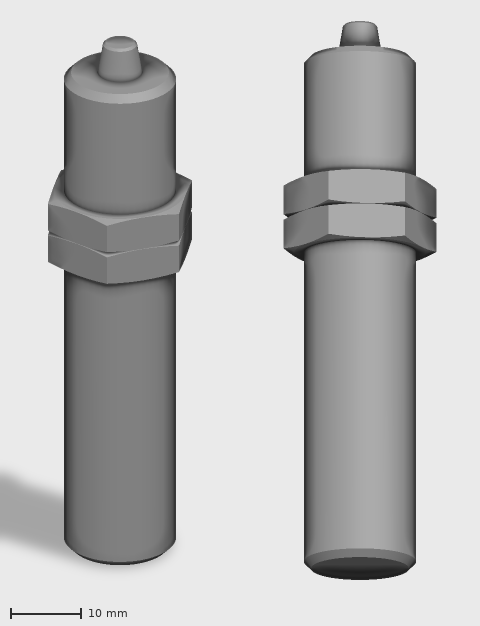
import cadquery as cq
import math

total_height = 79.8

body_diameter = 16.0
body_height = 75.0
body_chamfer = 1.0
tip_base_diameter = 6.4
tip_top_diameter = 4.8
tip_height = total_height - body_height
tip_chamfer = 0.3

nut_count = 2
nut_across_flats = 19.0
nut_across_corners = nut_across_flats / math.cos(math.radians(30))
nut_height = 5.0
nut_stack_bottom = 46.3
nut_face_diameter = nut_across_flats - 0.15
nut_chamfer_angle = 15.0


def make_body():
    """Round body, chamfered at both ends, with its tapered tip."""
    cylinder = (
        cq.Workplane("XY")
        .circle(body_diameter / 2)
        .extrude(body_height)
        .faces("<Z or >Z")
        .chamfer(body_chamfer)
    )
    tip = (
        cq.Workplane("XY", origin=(0, 0, body_height))
        .circle(tip_base_diameter / 2)
        .workplane(offset=tip_height)
        .circle(tip_top_diameter / 2)
        .loft()
        .faces(">Z")
        .chamfer(tip_chamfer)
    )
    return cylinder.union(tip)


def make_nut(bottom):
    """Hexagonal nut with corners at +X and -X, coned off at both faces."""
    hexagon = cq.Workplane("XY").polygon(6, nut_across_corners).extrude(nut_height)
    face_radius = nut_face_diameter / 2
    outer_radius = nut_across_corners / 2
    corner_drop = (outer_radius - face_radius) * math.tan(math.radians(nut_chamfer_angle))
    coned_envelope = (
        cq.Workplane("XZ")
        .moveTo(0, 0)
        .lineTo(face_radius, 0)
        .lineTo(outer_radius, corner_drop)
        .lineTo(outer_radius, nut_height - corner_drop)
        .lineTo(face_radius, nut_height)
        .lineTo(0, nut_height)
        .close()
        .revolve(360, (0, 0, 0), (0, 1, 0))
    )
    bore = cq.Workplane("XY").circle(body_diameter / 2).extrude(nut_height)
    return hexagon.intersect(coned_envelope).cut(bore).translate((0, 0, bottom))


body = make_body()
nuts = [make_nut(nut_stack_bottom + i * nut_height) for i in range(nut_count)]

result = cq.Compound.makeCompound([body.val(), *[nut.val() for nut in nuts]])